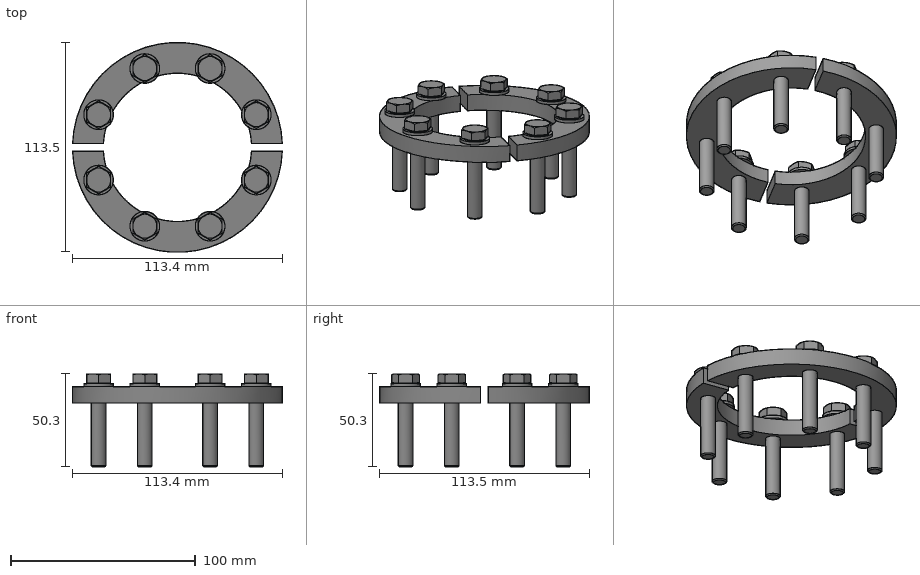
import cadquery as cq
import math

half_count = 2
outer_radius = 56.75
inner_radius = 40.0
ring_thickness = 9.0
split_gap = 4.0

bolt_count = 8
bolt_circle_radius = 46.1
bolt_pitch_angle = 360.0 / bolt_count
shank_diameter = 8.0
bolt_length = 45.0
tip_chamfer = 0.7
washer_diameter = 16.0
washer_thickness = 1.6
head_sides = 6
head_turn_angle = 90.0
head_across_flats = 13.0
head_height = 5.3
head_top_diameter = head_across_flats
head_crown_angle = 30.0
bearing_face_diameter = 12.6
bearing_face_thickness = 0.4

washer_seat_z = ring_thickness
head_seat_z = washer_seat_z + washer_thickness
tip_z = head_seat_z - bolt_length


def make_half_ring():
    """Half ring on the +Y side, cut back by half of the split gap."""
    ring = cq.Workplane("XY").circle(outer_radius).circle(inner_radius).extrude(ring_thickness)
    keep_region = (
        cq.Workplane("XY")
        .rect(2 * outer_radius, outer_radius)
        .extrude(ring_thickness)
        .translate((0, (outer_radius + split_gap) / 2, 0))
    )
    return ring.intersect(keep_region)


def make_head():
    """Hex head, its top corners turned off by a cone, on a thin round bearing face."""
    across_corners = head_across_flats / math.cos(math.pi / head_sides)
    hex_base_z = head_seat_z + bearing_face_thickness
    hex_height = head_height - bearing_face_thickness
    hexagon = (
        cq.Workplane("XY", origin=(0, 0, hex_base_z))
        .polygon(head_sides, across_corners)
        .extrude(hex_height)
        .rotate((0, 0, 0), (0, 0, 1), head_turn_angle)
    )
    crown_width = (across_corners - head_top_diameter) / 2
    crown_drop = crown_width * math.tan(math.radians(head_crown_angle))
    crown = (
        cq.Workplane("XY", origin=(0, 0, hex_base_z))
        .circle(across_corners / 2)
        .extrude(hex_height)
        .faces(">Z")
        .chamfer(crown_drop, crown_width)
    )
    bearing_face = (
        cq.Workplane("XY", origin=(0, 0, head_seat_z))
        .circle(bearing_face_diameter / 2)
        .extrude(bearing_face_thickness)
    )
    return hexagon.intersect(crown).union(bearing_face)


def make_bolt():
    """Bolt on the Z axis with its washer under the head."""
    shank = (
        cq.Workplane("XY", origin=(0, 0, tip_z))
        .circle(shank_diameter / 2)
        .extrude(bolt_length)
        .faces("<Z")
        .chamfer(tip_chamfer)
    )
    washer = (
        cq.Workplane("XY", origin=(0, 0, washer_seat_z))
        .circle(washer_diameter / 2)
        .extrude(washer_thickness)
    )
    return shank.union(washer).union(make_head())


def make_bolted_half():
    """Half ring joined with its share of the bolts."""
    half = make_half_ring()
    bolt = make_bolt()
    for index in range(bolt_count // half_count):
        angle = math.radians((index + 0.5) * bolt_pitch_angle)
        x = bolt_circle_radius * math.cos(angle)
        y = bolt_circle_radius * math.sin(angle)
        half = half.union(bolt.translate((x, y, 0)))
    return half


bolted_half = make_bolted_half()
halves = []
for index in range(half_count):
    turn = index * 360.0 / half_count
    halves.append(bolted_half.rotate((0, 0, 0), (0, 0, 1), turn))

result = cq.Compound.makeCompound([half.val() for half in halves])